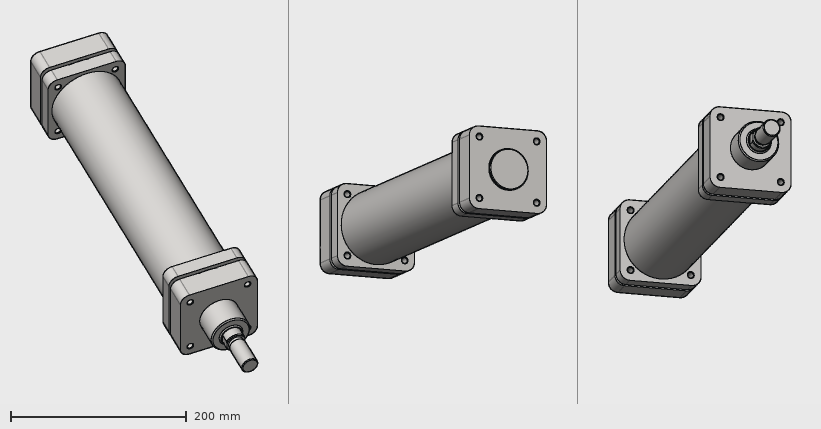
import cadquery as cq

overall_length = 516.0
block_side = 96.0
block_corner_radius = 11.5

boss_height = 3.5
cap_thickness = 28.0
flange_gap = 4.5
flange_thickness = 17.0
barrel_length = 368.5
collar_length = 34.0
lip_length = 1.5
shank_tip_length = 12.5
relief_length = 3.5

barrel_diameter = 86.5
collar_diameter = 48.0
lip_base_diameter = 29.5
lip_tip_diameter = 26.5
shank_diameter = 25.0
thread_diameter = 20.0

boss_chamfer = 1.0
collar_chamfer = 1.5
rod_chamfer = 1.0
relief_diameter = thread_diameter - 2 * rod_chamfer
wrench_width = 22.0
screw_hole_diameter = 6.5
screw_mouth_diameter = 8.0
screw_hole_spacing = 71.0
cap_hole_depth = 16.5

rear_cap_outer = boss_height
rear_cap_inner = rear_cap_outer + cap_thickness
front_cap_inner = rear_cap_inner + barrel_length
front_cap_outer = front_cap_inner + cap_thickness
rear_flange_start = rear_cap_inner + flange_gap
front_flange_start = front_cap_inner - flange_gap - flange_thickness
collar_end = front_cap_outer + collar_length
lip_end = collar_end + lip_length
shank_end = lip_end + shank_tip_length
thread_start = shank_end + relief_length


def revolve_about_axis(stations):
    """Solid of revolution about X through (x, radius) stations, closed along the axis."""
    outline = [(stations[0][0], 0)]
    outline += stations
    outline += [(stations[-1][0], 0)]
    return cq.Workplane("XZ").polyline(outline).close().revolve(360, (0, 0, 0), (1, 0, 0))


def square_block(start, thickness):
    """Square block with rounded corners, extending along +X from start."""
    block = cq.Workplane("YZ", origin=(start, 0, 0)).rect(block_side, block_side).extrude(thickness)
    return block.edges("|X").fillet(block_corner_radius)


def screw_holes(mouth_x, depth, inward):
    """Four countersunk screw hole cutters; inward is the X direction (+1 or -1) into the block."""
    mouth_radius = screw_mouth_diameter / 2
    hole_radius = screw_hole_diameter / 2
    countersink_depth = mouth_radius - hole_radius
    cutter = (
        cq.Workplane("XY")
        .polyline([
            (0, 0),
            (0, mouth_radius),
            (inward * countersink_depth, hole_radius),
            (inward * depth, hole_radius),
            (inward * depth, 0),
        ])
        .close()
        .revolve(360, (0, 0, 0), (1, 0, 0))
    )
    offset = screw_hole_spacing / 2
    cutters = cq.Workplane("XY")
    for y in (-offset, offset):
        for z in (-offset, offset):
            cutters = cutters.add(cutter.translate((mouth_x, y, z)))
    return cutters.combine()


def make_rear_cap():
    """Rear end block with a low centring boss and blind screw holes in its outer face."""
    boss = revolve_about_axis([
        (0, collar_diameter / 2 - boss_chamfer),
        (boss_chamfer, collar_diameter / 2),
        (rear_cap_inner, collar_diameter / 2),
    ])
    cap = square_block(rear_cap_outer, cap_thickness).union(boss)
    return cap.cut(screw_holes(rear_cap_outer, cap_hole_depth, 1))


def make_front_cap():
    """Front end block with a chamfered collar, a conical lip and a bore for the rod."""
    collar = revolve_about_axis([
        (front_cap_inner, collar_diameter / 2),
        (collar_end - collar_chamfer, collar_diameter / 2),
        (collar_end, collar_diameter / 2 - collar_chamfer),
        (collar_end, lip_base_diameter / 2),
        (lip_end, lip_tip_diameter / 2),
    ])
    rod_bore = revolve_about_axis([
        (front_cap_inner, shank_diameter / 2),
        (lip_end, shank_diameter / 2),
    ])
    cap = square_block(front_cap_inner, cap_thickness).union(collar).cut(rod_bore)
    return cap.cut(screw_holes(front_cap_outer, cap_hole_depth, -1))


def make_barrel():
    """Round barrel spanning between the inner faces of the two caps."""
    return revolve_about_axis([
        (rear_cap_inner, barrel_diameter / 2),
        (front_cap_inner, barrel_diameter / 2),
    ])


def make_flange(start, mouth_x, inward, barrel):
    """Square flange fitted around the barrel; its through screw holes open at mouth_x."""
    flange = square_block(start, flange_thickness).cut(barrel)
    return flange.cut(screw_holes(mouth_x, flange_thickness, inward))


def make_rod():
    """Piston rod: shank with two wrench flats, relief groove and thread end chamfered at both ends."""
    rod = revolve_about_axis([
        (front_cap_inner, shank_diameter / 2),
        (shank_end - rod_chamfer, shank_diameter / 2),
        (shank_end, shank_diameter / 2 - rod_chamfer),
        (shank_end, relief_diameter / 2),
        (thread_start, relief_diameter / 2),
        (thread_start + rod_chamfer, thread_diameter / 2),
        (overall_length - rod_chamfer, thread_diameter / 2),
        (overall_length, thread_diameter / 2 - rod_chamfer),
    ])
    for side in (-1, 1):
        flat_cutter = cq.Workplane("XY").box(
            shank_tip_length, shank_diameter, shank_diameter, centered=(False, True, True)
        )
        flat_offset = side * (wrench_width + shank_diameter) / 2
        rod = rod.cut(flat_cutter.translate((lip_end, flat_offset, 0)))
    return rod


rear_cap = make_rear_cap()
front_cap = make_front_cap()
barrel = make_barrel()
flange_placements = [
    (rear_flange_start, rear_flange_start + flange_thickness, -1),
    (front_flange_start, front_flange_start, 1),
]
flanges = [make_flange(start, mouth_x, inward, barrel) for start, mouth_x, inward in flange_placements]
rod = make_rod()

result = cq.Compound.makeCompound([
    rear_cap.val(),
    front_cap.val(),
    barrel.val(),
    *[flange.val() for flange in flanges],
    rod.val(),
])